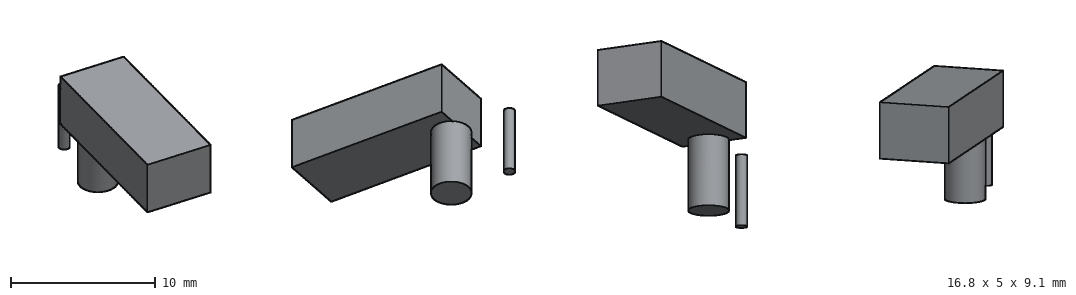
import cadquery as cq

overall_length = 16.75
block_length = 12.38
block_width = 5.0
block_height = 4.0
block_left = overall_length - block_length

pin_height = 5.1
thick_pin_diameter = 2.83
thick_pin_x = 5.21
thin_pin_diameter = 0.8
thin_pin_x = thin_pin_diameter / 2


def make_block():
    """Plain rectangular block resting on top of the thick pin."""
    return (
        cq.Workplane("XY")
        .box(block_length, block_width, block_height, centered=(False, True, False))
        .translate((block_left, 0, pin_height))
    )


def make_pin(center_x, diameter):
    """Upright round pin on the centre plane of the block."""
    return cq.Workplane("XY").center(center_x, 0).circle(diameter / 2).extrude(pin_height)


block = make_block()
thick_pin = make_pin(thick_pin_x, thick_pin_diameter)
thin_pin = make_pin(thin_pin_x, thin_pin_diameter)

result = cq.Compound.makeCompound([block.val(), thick_pin.val(), thin_pin.val()])